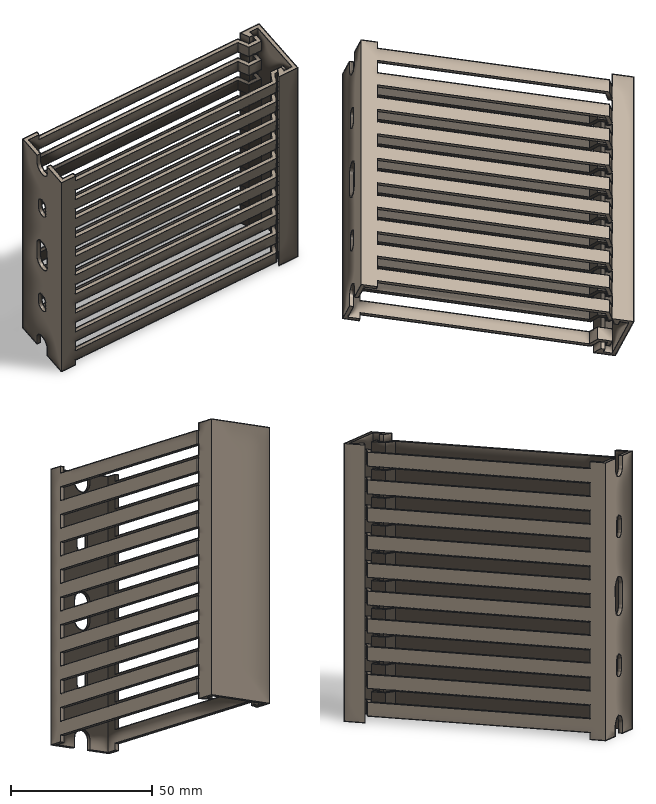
import cadquery as cq
import math

width = 25.0
depth = 100.0
length = 100.0
wall = 1.5
wall_outside = -width / 2
wall_inside = wall_outside + wall

side_gap = 0.5
top_gap = 1.0

curb_height = 6.0
finger_count = 10
finger_pitch = length / finger_count
finger_gap = finger_pitch / 2

shoulder_slope = 0.5
shoulder_start = depth - 9.0
neck_inset = 4.0
hook_top = depth - wall - top_gap

skirt_depth = 8.0
skirt_end = depth - skirt_depth

wide_slot = (14.0, 6.5)
narrow_slot = (8.0, 4.5)
wide_slot_positions = (0, length / 2, length)
narrow_slot_positions = (length / 4, 3 * length / 4)


def symmetric_prism(left_half):
    """Full-length prism whose cross-section is the given left half and its mirror image."""
    right_half = [(-x, y) for x, y in reversed(left_half)]
    return cq.Workplane("XY").polyline(left_half + right_half).close().extrude(length)


def duct_blank():
    """Duct before slotting, with the finger section along its whole length."""
    neck_outside = wall_outside + neck_inset
    neck_inside = neck_outside + wall
    shoulder_inner_start = shoulder_start - wall * math.hypot(1, shoulder_slope)
    hook_tip = wall_inside + side_gap
    hook_underside = hook_top - wall

    def shoulder_y(start, x):
        return start + shoulder_slope * (x - wall_outside)

    return symmetric_prism([
        (wall_outside, 0),
        (wall_outside, shoulder_start),
        (neck_outside, shoulder_y(shoulder_start, neck_outside)),
        (neck_outside, hook_underside),
        (hook_tip, hook_underside),
        (hook_tip, hook_top),
        (neck_inside, hook_top),
        (neck_inside, shoulder_y(shoulder_inner_start, neck_inside)),
        (wall_inside, shoulder_y(shoulder_inner_start, wall_inside)),
        (wall_inside, wall),
    ])


def finger_gap_cutters():
    """Blocks above the curb between the fingers, including a half gap at each end of the duct."""
    centers = [(0, curb_height, index * finger_pitch) for index in range(finger_count + 1)]
    return (
        cq.Workplane("XY")
        .pushPoints(centers)
        .box(width, depth, finger_gap, centered=(True, False, True))
    )


def floor_slots(size, positions):
    """Round-ended slots through the floor, centred at the given Z positions."""
    slot_length, slot_width = size
    centers = [(0, z) for z in positions]
    return (
        cq.Workplane("XZ")
        .pushPoints(centers)
        .slot2D(slot_length, slot_width, angle=90)
        .extrude(-wall)
    )


def make_duct():
    return (
        duct_blank()
        .cut(finger_gap_cutters())
        .cut(floor_slots(wide_slot, wide_slot_positions))
        .cut(floor_slots(narrow_slot, narrow_slot_positions))
    )


def make_cover():
    """Channel-shaped cover with a bevelled lip at the end of each skirt."""
    lip_end = wall_outside + neck_inset - side_gap
    lip_bottom = skirt_end + shoulder_slope * (lip_end - wall_outside)
    lip_top = lip_bottom + wall
    return symmetric_prism([
        (wall_outside, depth),
        (wall_outside, skirt_end),
        (lip_end, lip_bottom),
        (lip_end, lip_top),
        (wall_inside, lip_top),
        (wall_inside, depth - wall),
    ])


duct = make_duct()
cover = make_cover()
result = cq.Compound.makeCompound([duct.val(), cover.val()])